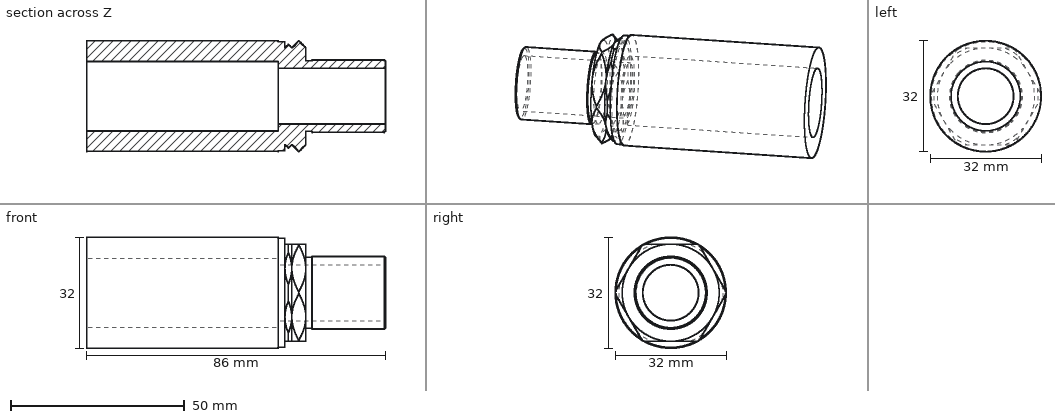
import cadquery as cq

total_length = 86.0

sleeve_radius = 16.0
collar_radius = 15.7
neck_radius = 10.2
spigot_radius = 10.5

sleeve_end = 55.0
collar_end = 57.0
lock_nut_end = 59.0
hex_end = 63.0
spigot_start = 64.9

spigot_end_chamfer = 0.4
spigot_start_chamfer = spigot_radius - neck_radius

hex_across_flats = 27.95
corner_turn = 30

socket_radius = 10.0
bore_radius = 8.0


def cylinder(radius, start, end):
    """Cylinder about the X axis between two positions."""
    return cq.Workplane("YZ", origin=(start, 0, 0)).circle(radius).extrude(end - start)


def chamfered_hex(start, end):
    """Hex whose corners are turned off by two 45 degree cones meeting at mid-width."""
    width = end - start
    middle = start + width / 2
    face_radius = hex_across_flats / 2
    ridge_radius = face_radius + width / 2
    hexagon = (
        cq.Workplane("YZ", origin=(start, 0, 0))
        .polygon(6, hex_across_flats, circumscribed=True)
        .extrude(width)
        .rotate((0, 0, 0), (1, 0, 0), corner_turn)
    )
    double_cone = (
        cq.Workplane("XY")
        .moveTo(start, 0)
        .lineTo(start, face_radius)
        .lineTo(middle, ridge_radius)
        .lineTo(end, face_radius)
        .lineTo(end, 0)
        .close()
        .revolve(360, (0, 0, 0), (1, 0, 0))
    )
    return hexagon.intersect(double_cone)


def spigot():
    """Plain end cylinder with a different chamfer at each end."""
    start = spigot_start - spigot_start_chamfer
    return (
        cylinder(spigot_radius, start, total_length)
        .faces("<X").chamfer(spigot_start_chamfer)
        .faces(">X").chamfer(spigot_end_chamfer)
    )


outside = (
    cylinder(sleeve_radius, 0, sleeve_end)
    .union(cylinder(collar_radius, sleeve_end, collar_end))
    .union(chamfered_hex(collar_end, lock_nut_end))
    .union(chamfered_hex(lock_nut_end, hex_end))
    .union(cylinder(neck_radius, hex_end, spigot_start))
    .union(spigot())
)

socket = cylinder(socket_radius, 0, sleeve_end)
bore = cylinder(bore_radius, 0, total_length)

result = outside.cut(socket).cut(bore)